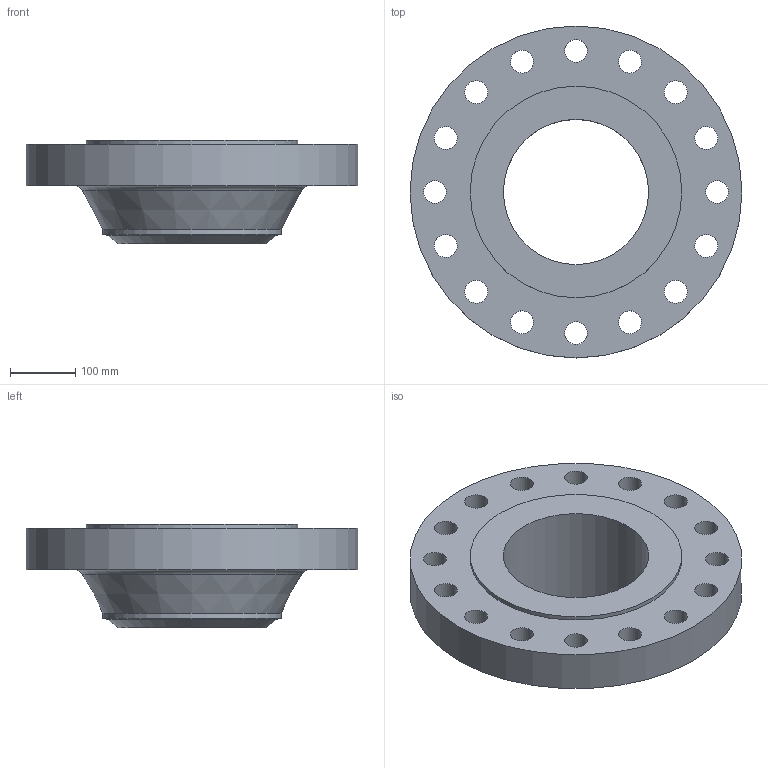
import cadquery as cq
import math


flange_diameter = 508.0
flange_thickness = 63.5
total_height = 158.75

raised_face_diameter = 323.85
raised_face_height = 6.35

bore_diameter = 222.25

hub_base_diameter = 342.9
hub_fillet_radius = 12.7

neck_diameter = 273.05
neck_length = 7.9

root_land_width = 1.6
bevel_break_wall = 19.05
outer_bevel_angle = 10.0
inner_bevel_angle = 37.5

bolt_circle_diameter = 431.8
bolt_hole_diameter = 35.05
bolt_hole_count = 16

flange_radius = flange_diameter / 2
raised_face_radius = raised_face_diameter / 2
bore_radius = bore_diameter / 2
hub_base_radius = hub_base_diameter / 2
neck_radius = neck_diameter / 2
bevel_break_radius = bore_radius + bevel_break_wall
root_land_radius = bore_radius + root_land_width

flange_top = total_height - raised_face_height
flange_bottom = flange_top - flange_thickness
bevel_break_level = (bevel_break_radius - root_land_radius) * math.tan(math.radians(inner_bevel_angle))
outer_bevel_height = (neck_radius - bevel_break_radius) * math.tan(math.radians(outer_bevel_angle))
neck_bottom = bevel_break_level + outer_bevel_height
neck_top = neck_bottom + neck_length


def hub_fillet_points():
    """Start, middle and end (radius, Z) of the arc blending the hub taper into the flange underside."""
    taper = math.atan2(hub_base_radius - neck_radius, flange_bottom - neck_top)
    turn = math.pi / 2 - taper
    tangent_length = hub_fillet_radius * math.tan(turn / 2)
    center_radius = hub_base_radius + tangent_length
    center_level = flange_bottom - hub_fillet_radius

    def arc_point(angle_from_axis):
        return (
            center_radius - hub_fillet_radius * math.sin(angle_from_axis),
            center_level + hub_fillet_radius * math.cos(angle_from_axis),
        )

    return arc_point(turn), arc_point(turn / 2), arc_point(0)


def make_body():
    """Revolve the half section, drawn on the -X side, about the Z axis."""

    def at(radius, level):
        return (-radius, level)

    fillet_start, fillet_middle, fillet_end = hub_fillet_points()
    return (
        cq.Workplane("XZ")
        .moveTo(*at(bore_radius, 0))
        .lineTo(*at(root_land_radius, 0))
        .lineTo(*at(bevel_break_radius, bevel_break_level))
        .lineTo(*at(neck_radius, neck_bottom))
        .lineTo(*at(neck_radius, neck_top))
        .lineTo(*at(*fillet_start))
        .threePointArc(at(*fillet_middle), at(*fillet_end))
        .lineTo(*at(flange_radius, flange_bottom))
        .lineTo(*at(flange_radius, flange_top))
        .lineTo(*at(raised_face_radius, flange_top))
        .lineTo(*at(raised_face_radius, total_height))
        .lineTo(*at(bore_radius, total_height))
        .close()
        .revolve(360, (0, 0, 0), (0, 1, 0))
    )


def drill_bolt_holes(body):
    """Cut the ring of through bolt holes, the first one on the +X axis."""
    holes = (
        cq.Workplane("XY")
        .workplane(offset=flange_bottom)
        .polarArray(bolt_circle_diameter / 2, 0, 360, bolt_hole_count)
        .circle(bolt_hole_diameter / 2)
        .extrude(flange_thickness)
    )
    return body.cut(holes)


result = drill_bolt_holes(make_body())